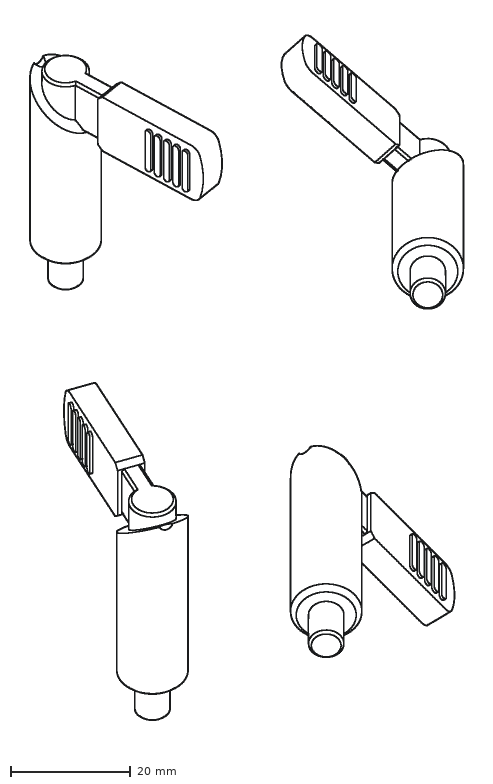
import cadquery as cq
import math


total_height = 48.0
grip_height = 12.0
grip_thickness = 5.0
grip_start_x = 9.0
grip_end_x = 32.0
grip_start_chamfer = 1.0
grip_end_radius = 15.0
grip_corner_radius = 2.0
grip_mid_z = total_height - grip_height / 2

rib_count = 5
rib_pitch = 2.0
rib_first_x = 20.35
rib_width = 1.25
rib_length = 9.0
rib_rise = 0.5

pin_radius = 3.0
hub_radius = 4.0
arm_thickness = 3.5
plunger_chamfer = 0.5
arm_height = grip_height - 2 * grip_start_chamfer
arm_bottom_z = grip_mid_z - arm_height / 2

sleeve_radius = 6.0
sleeve_bottom_z = 8.0
sleeve_chamfer = 0.95
cam_rise = 9.0
cam_low_z = arm_bottom_z
cam_high_z = cam_low_z + cam_rise

notch_radius = 1.25
notch_floor_z = 45.0


def make_plunger():
    """Pin carrying a keyhole-shaped head made of the round hub and the lever arm."""
    arm = cq.Workplane("XY").box(grip_start_x, arm_thickness, arm_height, centered=(False, True, False))
    head = cq.Workplane("XY").circle(hub_radius).extrude(arm_height).union(arm)
    head = head.faces("|Z").edges("not(>X)").chamfer(plunger_chamfer)
    head = head.translate((0, 0, arm_bottom_z))
    pin = cq.Workplane("XY").circle(pin_radius).extrude(arm_bottom_z)
    pin = pin.faces("<Z").chamfer(plunger_chamfer)
    return head.union(pin)


def make_sleeve(plunger):
    """Chamfered cylinder with a slanted top, a detent notch and a fitting recess for the plunger."""
    sleeve = (
        cq.Workplane("XY", origin=(0, 0, sleeve_bottom_z))
        .circle(sleeve_radius)
        .extrude(cam_high_z - sleeve_bottom_z)
        .faces("<Z")
        .chamfer(sleeve_chamfer)
    )
    above_cam = (
        cq.Workplane("XZ")
        .moveTo(-sleeve_radius, cam_high_z)
        .lineTo(sleeve_radius, cam_low_z)
        .lineTo(sleeve_radius, cam_high_z)
        .close()
        .extrude(sleeve_radius, both=True)
    )
    notch = (
        cq.Workplane("YZ", origin=(-sleeve_radius, 0, 0))
        .center(0, notch_floor_z + notch_radius)
        .circle(notch_radius)
        .extrude(sleeve_radius)
    )
    return sleeve.cut(above_cam).cut(notch).cut(plunger)


def make_grip():
    """Flat handle with chamfered inner edges, a bowed outer end and ribs on both faces."""
    half_height = grip_height / 2
    end_bow = grip_end_radius - math.sqrt(grip_end_radius**2 - half_height**2)
    corner_x = grip_end_x - end_bow
    grip = (
        cq.Workplane("XZ", origin=(0, 0, grip_mid_z))
        .moveTo(grip_start_x, -half_height)
        .lineTo(corner_x, -half_height)
        .threePointArc((grip_end_x, 0), (corner_x, half_height))
        .lineTo(grip_start_x, half_height)
        .close()
        .extrude(grip_thickness / 2, both=True)
    )
    grip = grip.faces("<X").edges("|Y").chamfer(grip_start_chamfer)
    grip = grip.edges("|Y").edges(">X").fillet(grip_corner_radius)

    for index in range(rib_count):
        rib = (
            cq.Workplane("XZ", origin=(rib_first_x + index * rib_pitch, 0, grip_mid_z))
            .slot2D(rib_length, rib_width, 90)
            .extrude(grip_thickness / 2 + rib_rise, both=True)
        )
        grip = grip.union(rib)
    return grip


plunger = make_plunger()
sleeve = make_sleeve(plunger)
grip = make_grip()

result = cq.Compound.makeCompound([sleeve.solids().val(), plunger.solids().val(), grip.solids().val()])